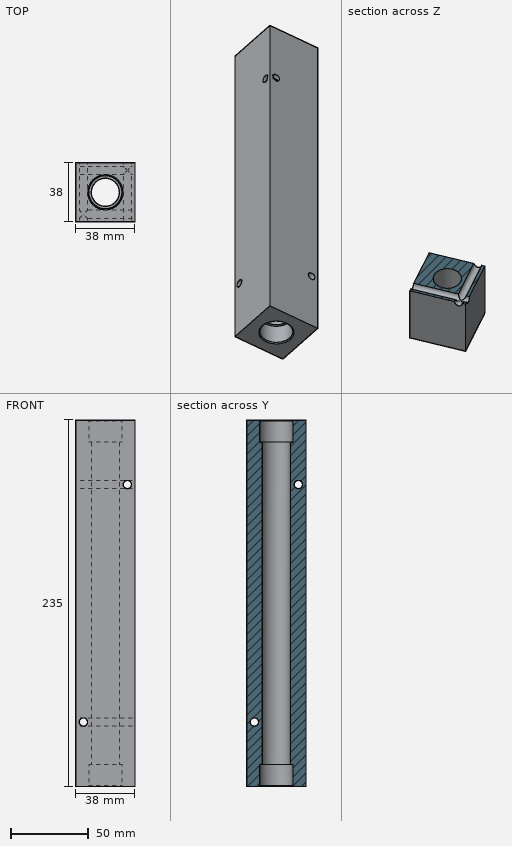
import cadquery as cq

length = 235.0
side = 38.0

bore_diameter = 17.9
socket_diameter = 21.1
socket_depth = 14.0
mouth_diameter = 22.5
mouth_chamfer = (mouth_diameter - socket_diameter) / 2

cross_hole_diameter = 5.2
cross_hole_offset = 14.0
cross_hole_height = 76.1


def end_socket():
    """Counterbore with a chamfered mouth, for the upper end of the bar."""
    socket = (
        cq.Workplane("XY", origin=(0, 0, length / 2 - socket_depth))
        .circle(socket_diameter / 2)
        .extrude(socket_depth)
    )
    mouth = cq.Solid.makeCone(
        socket_diameter / 2,
        mouth_diameter / 2,
        mouth_chamfer,
        pnt=cq.Vector(0, 0, length / 2 - mouth_chamfer),
    )
    return socket.union(cq.Workplane(obj=mouth))


def cross_hole(plane, offset, height):
    """Cylinder through the full width of the bar, normal to the given plane."""
    return (
        cq.Workplane(plane)
        .center(offset, height)
        .circle(cross_hole_diameter / 2)
        .extrude(side, both=True)
    )


bar = cq.Workplane("XY").box(side, side, length)
bore = cq.Workplane("XY").circle(bore_diameter / 2).extrude(length, both=True)
upper_socket = end_socket()
lower_socket = upper_socket.mirror("XY")

result = bar.cut(bore).cut(upper_socket).cut(lower_socket)

for plane in ("XZ", "YZ"):
    for direction in (1, -1):
        hole = cross_hole(plane, direction * cross_hole_offset, direction * cross_hole_height)
        result = result.cut(hole)